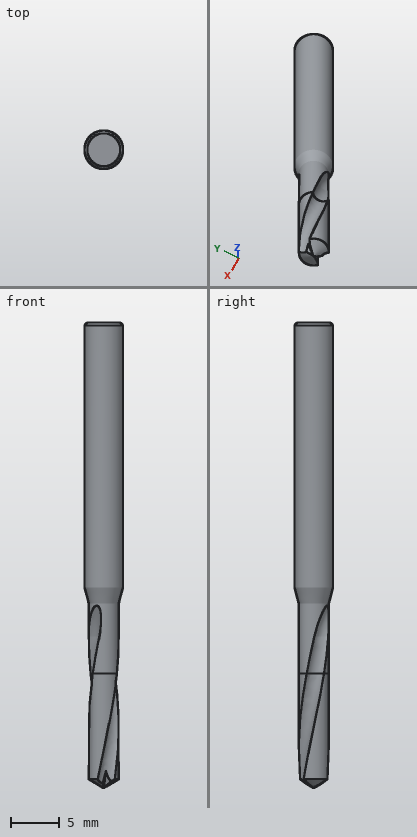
import cadquery as cq
import math

overall_length = 48.0
shank_radius = 4.0 / 2
drill_radius = 3.1 / 2
end_chamfer = 0.3

point_angle = 118.0
point_height = drill_radius / math.tan(math.radians(point_angle / 2))

head_length = 11.8
flute_end = 15.6
runout_end = 18.8
neck_end = 19.0
neck_cone_angle = 15.0
cone_height = (shank_radius - drill_radius) / math.tan(math.radians(neck_cone_angle))
cone_end = neck_end + cone_height

flute_count = 2
first_flute_angle = 94.5
helix_angle = 12.0
helix_lead = 2 * math.pi * drill_radius / math.tan(math.radians(helix_angle))
core_radius = 0.77
groove_radius = 1.07
groove_offset = core_radius + groove_radius
start_overrun = 1.0

runout_steps = 4
runout_power = 1.7

first_gash_angle = 107.0
gash_opening = 75.0
gash_start = 0.06
gash_exit_height = 1.76
gash_tilt = math.degrees(math.atan((core_radius - gash_start) / gash_exit_height))
gash_reach = 3.0


def turn_at(height):
    """Angle in degrees that the helix turns over a height."""
    return 360.0 * height / helix_lead


def turned(shape, angle):
    """The shape turned about the drill axis."""
    return shape.rotate(cq.Vector(0, 0, 0), cq.Vector(0, 0, 1), angle)


def helical_groove():
    """Groove of constant depth, from below the point up to the start of the runout."""
    length = start_overrun + flute_end
    groove = (
        cq.Workplane("XY")
        .center(groove_offset, 0)
        .circle(groove_radius)
        .center(-groove_offset, 0)
        .twistExtrude(length, turn_at(length))
        .translate((0, 0, -start_overrun))
        .val()
    )
    return turned(groove, turn_at(-start_overrun))


def runout_groove():
    """End of the groove, rising faster and faster until it leaves the neck."""
    sections = []
    for step in range(runout_steps + 1):
        share = step / runout_steps
        height = flute_end + share * (runout_end - flute_end)
        offset = groove_offset + share**runout_power * (drill_radius - core_radius)
        section = cq.Wire.makeCircle(groove_radius, cq.Vector(offset, 0, height), cq.Vector(0, 0, 1))
        sections.append(turned(section, turn_at(height)))
    return cq.Solid.makeLoft(sections)


def cut_flutes(body):
    """Cuts every flute, with its runout, out of a body."""
    groove = helical_groove()
    runout = runout_groove()
    for index in range(flute_count):
        angle = first_flute_angle + index * 360.0 / flute_count
        body = body.cut(cq.Workplane(turned(groove, angle)))
        body = body.cut(cq.Workplane(turned(runout, angle)))
    return body


def gash_groove():
    """Tilted V wedge whose root starts beside the axis and meets the flute bottom higher up."""
    half_width = gash_reach * math.tan(math.radians(gash_opening / 2))
    return (
        cq.Workplane("XY")
        .polyline([(0, 0), (gash_reach, -half_width), (gash_reach, half_width)])
        .close()
        .extrude(gash_reach, both=True)
        .rotate((0, 0, 0), (0, 1, 0), gash_tilt)
        .translate((gash_start, 0, 0))
        .val()
    )


def cut_gashes(body):
    """Cuts one gash per flute out of a body."""
    gash = gash_groove()
    for index in range(flute_count):
        angle = first_gash_angle + index * 360.0 / flute_count
        body = body.cut(cq.Workplane(turned(gash, angle)))
    return body


def make_cutting_head():
    """Fluted head with a conical point."""
    blank = (
        cq.Workplane("XZ")
        .polyline([
            (0, 0),
            (-drill_radius, point_height),
            (-drill_radius, head_length),
            (0, head_length),
        ])
        .close()
        .revolve(360, (0, 0), (0, 1))
    )
    return cut_gashes(cut_flutes(blank))


def make_shank():
    """Plain shank, cone and fluted neck that continues the head."""
    blank = (
        cq.Workplane("YZ")
        .polyline([
            (0, head_length),
            (-drill_radius, head_length),
            (-drill_radius, neck_end),
            (-shank_radius, cone_end),
            (-shank_radius, overall_length - end_chamfer),
            (-shank_radius + end_chamfer, overall_length),
            (0, overall_length),
        ])
        .close()
        .revolve(360, (0, 0), (0, 1))
    )
    return cut_flutes(blank)


cutting_head = make_cutting_head()
shank = make_shank()

result = cq.Compound.makeCompound([cutting_head.val(), shank.val()])